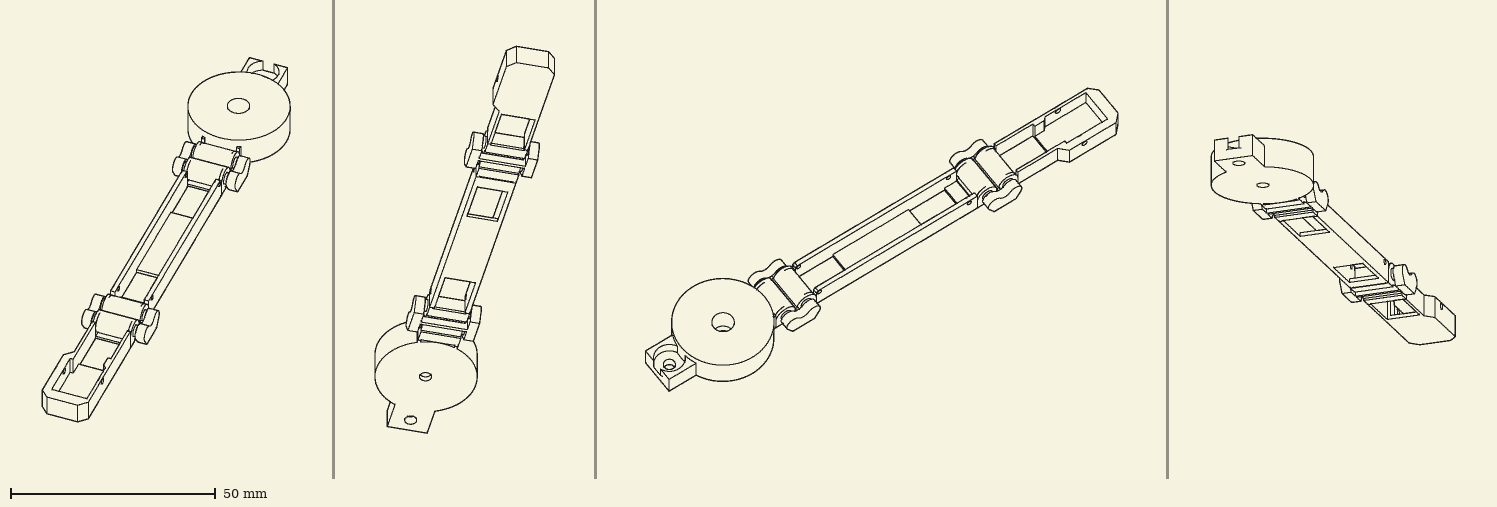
import cadquery as cq
import math


LINK_WIDTH = 10.0
LINK_HEIGHT = 5.5
THIN_WALL = 0.8
FLOOR_THICKNESS = 1.0
CORD_HOLE_DIAMETER = 1.2
CORD_HOLE_HEIGHT = 4.5

DISC_DIAMETER = 25.0
DISC_HEIGHT = 7.5
DISC_BORE_X = -0.1
DISC_BORE_DIAMETER = 3.0
DISC_COUNTERBORE_DIAMETER = 5.5
DISC_COUNTERBORE_FLOOR = 1.3
TAB_END_Y = 19.5
TAB_HOLE_Y = 16.0
TAB_HOLE_DIAMETER = 3.0
TAB_RECESS_DIAMETER = 7.8
TAB_RECESS_FLOOR = 2.5

HINGE_YS = (-18.4, -78.5)
AXIS_SPACING = 6.0
BARREL_DIAMETER = 5.5
BARREL_TOP = 6.0
CHEEK_RADIUS = AXIS_SPACING / 2
FOOT_THICKNESS = 0.7
PIN_DIAMETER = 3.0
PLATE_LOBE_DIAMETER = 4.0
PLATE_THICKNESS = 2.4
PLATE_GAP = 0.8
PLATE_NOTCH_HEIGHT = 3.9
PLATE_FOOT_OVERHANG = 0.3
WEB_THICKNESS = 0.8
WEB_CLEARANCE = 0.1

MIDDLE_WALL = 1.2
MIDDLE_FLOOR_BACK_Y = -35.5
MIDDLE_FLOOR_LENGTH = 22.6
MIDDLE_END_FLOOR_LENGTH = 3.6
MIDDLE_END_CHAMFER = 0.5
MIDDLE_BACK_HOLE_INSET = 1.0
MIDDLE_FRONT_HOLE_INSET = 2.4

TIP_END_Y = -114.5
TIP_LEFT_X = -7.1
TIP_SHOULDER_Y = -96.5
TIP_CHAMFER = 2.0
TIP_END_WALL = 3.1
TIP_FLOOR_Y = -95.5
TIP_STEP_Y = -99.2
TIP_BUMP_THICKNESS = 0.8
TIP_HOLE_DIAMETER = 1.5
TIP_HOLE_Y = -103.0

HALF_WIDTH = LINK_WIDTH / 2
HALF_INSIDE = HALF_WIDTH - THIN_WALL
BARREL_RADIUS = BARREL_DIAMETER / 2
AXIS_HEIGHT = BARREL_TOP - BARREL_RADIUS
PLATE_INNER_X = HALF_WIDTH + PLATE_GAP
PLATE_OUTER_X = PLATE_INNER_X + PLATE_THICKNESS
KNUCKLE_REACH = AXIS_SPACING / 2 + CHEEK_RADIUS
BASE_FRONT_Y = HINGE_YS[0] + KNUCKLE_REACH
MIDDLE_BACK_Y = HINGE_YS[0] - KNUCKLE_REACH
MIDDLE_FRONT_Y = HINGE_YS[1] + KNUCKLE_REACH
TIP_BACK_Y = HINGE_YS[1] - KNUCKLE_REACH


def box(x0, x1, y0, y1, z0, z1):
    """Block between two opposite corners."""
    return cq.Workplane("XY").box(x1 - x0, y1 - y0, z1 - z0, centered=False).translate((x0, y0, z0))


def vertical_cylinder(diameter, y, z0, z1, x=0):
    """Cylinder along Z, on the part's centre line unless x is given."""
    return cq.Workplane("XY", origin=(x, y, z0)).circle(diameter / 2).extrude(z1 - z0)


def cross_cylinder(diameter, y, z, half_length):
    """Cylinder along X, centred on X = 0."""
    plane = cq.Workplane("YZ", origin=(-half_length, y, z))
    return plane.circle(diameter / 2).extrude(2 * half_length)


def cord_hole(y, diameter):
    """Cutter for a hole across both side walls of a link, long enough for the wide tip."""
    return cross_cylinder(diameter, y, CORD_HOLE_HEIGHT, -TIP_LEFT_X)


def make_base():
    """Disc with a mounting tab behind it and two arms that reach the first hinge."""
    tab = box(-HALF_WIDTH, HALF_WIDTH, 0, TAB_END_Y, 0, LINK_HEIGHT)
    arms = box(-HALF_WIDTH, HALF_WIDTH, BASE_FRONT_Y, 0, 0, LINK_HEIGHT)
    arms = arms.cut(box(-HALF_INSIDE, HALF_INSIDE, BASE_FRONT_Y, 0, 0, LINK_HEIGHT))
    disc = vertical_cylinder(DISC_DIAMETER, 0, 0, DISC_HEIGHT)
    recess = vertical_cylinder(TAB_RECESS_DIAMETER, TAB_HOLE_Y, TAB_RECESS_FLOOR, LINK_HEIGHT)
    tab = tab.cut(recess)
    base = disc.union(tab).union(arms)
    base = base.cut(vertical_cylinder(TAB_HOLE_DIAMETER, TAB_HOLE_Y, 0, TAB_RECESS_FLOOR))
    bore = vertical_cylinder(DISC_BORE_DIAMETER, 0, 0, DISC_HEIGHT, DISC_BORE_X)
    counterbore = vertical_cylinder(
        DISC_COUNTERBORE_DIAMETER, 0, DISC_COUNTERBORE_FLOOR, DISC_HEIGHT, DISC_BORE_X
    )
    return base.cut(bore).cut(counterbore)


def make_middle():
    """Two long walls joined by a central floor and a short floor at the front end."""
    half_inside = HALF_WIDTH - MIDDLE_WALL
    link = box(-HALF_WIDTH, HALF_WIDTH, MIDDLE_FRONT_Y, MIDDLE_BACK_Y, 0, LINK_HEIGHT)
    link = link.faces(">Y").edges(">Z").chamfer(MIDDLE_END_CHAMFER)
    floor_front_y = MIDDLE_FLOOR_BACK_Y - MIDDLE_FLOOR_LENGTH
    end_floor_y = MIDDLE_FRONT_Y + MIDDLE_END_FLOOR_LENGTH
    channel = box(-half_inside, half_inside, MIDDLE_FRONT_Y, MIDDLE_BACK_Y, FLOOR_THICKNESS, LINK_HEIGHT)
    link = link.cut(channel)
    for front_y, back_y in ((MIDDLE_FLOOR_BACK_Y, MIDDLE_BACK_Y), (end_floor_y, floor_front_y)):
        link = link.cut(box(-half_inside, half_inside, front_y, back_y, 0, FLOOR_THICKNESS))
    for hole_y in (MIDDLE_BACK_Y - MIDDLE_BACK_HOLE_INSET, MIDDLE_FRONT_Y + MIDDLE_FRONT_HOLE_INSET):
        link = link.cut(cord_hole(hole_y, CORD_HOLE_DIAMETER))
    return link


def make_tip():
    """Fingertip tray, wider on the -X side, open at the top and behind its floor."""
    outline = [
        (-HALF_WIDTH, TIP_BACK_Y),
        (-HALF_WIDTH, TIP_SHOULDER_Y),
        (TIP_LEFT_X, TIP_SHOULDER_Y - TIP_CHAMFER),
        (TIP_LEFT_X, TIP_END_Y + TIP_CHAMFER),
        (TIP_LEFT_X + TIP_CHAMFER, TIP_END_Y),
        (HALF_WIDTH - TIP_CHAMFER, TIP_END_Y),
        (HALF_WIDTH, TIP_END_Y + TIP_CHAMFER),
        (HALF_WIDTH, TIP_BACK_Y),
    ]
    link = cq.Workplane("XY").polyline(outline).close().extrude(LINK_HEIGHT)
    window = box(-HALF_INSIDE, HALF_INSIDE, TIP_FLOOR_Y, TIP_BACK_Y, 0, LINK_HEIGHT)
    bump_x = HALF_INSIDE - TIP_BUMP_THICKNESS
    tray_outline = [
        (-HALF_INSIDE, TIP_FLOOR_Y),
        (-HALF_INSIDE, TIP_STEP_Y),
        (-HALF_WIDTH, TIP_STEP_Y),
        (-HALF_WIDTH, TIP_END_Y + TIP_END_WALL),
        (HALF_INSIDE, TIP_END_Y + TIP_END_WALL),
        (HALF_INSIDE, TIP_STEP_Y),
        (bump_x, TIP_STEP_Y + TIP_BUMP_THICKNESS),
        (bump_x, TIP_FLOOR_Y),
    ]
    tray_floor = cq.Workplane("XY", origin=(0, 0, FLOOR_THICKNESS))
    tray = tray_floor.polyline(tray_outline).close().extrude(LINK_HEIGHT - FLOOR_THICKNESS)
    link = link.cut(window).cut(tray)
    return link.cut(cord_hole(TIP_HOLE_Y, TIP_HOLE_DIAMETER))


def make_knuckle(hinge_y, side):
    """Barrel with two cheeks and a foot toward its link.

    side is +1 for the knuckle at the back of the hinge and -1 for the one at the front.
    The cheeks' round tops touch the top of the barrel.
    """
    axis_y = hinge_y + side * AXIS_SPACING / 2
    link_y = axis_y + side * CHEEK_RADIUS
    foot_y = axis_y + side * BARREL_RADIUS
    arc_height = BARREL_TOP - CHEEK_RADIUS
    arc_middle = CHEEK_RADIUS * math.sqrt(0.5)
    cheeks = (
        cq.Workplane("YZ", origin=(-HALF_WIDTH, 0, 0))
        .moveTo(axis_y, 0)
        .lineTo(link_y, 0)
        .lineTo(link_y, arc_height)
        .threePointArc((axis_y + side * arc_middle, arc_height + arc_middle), (axis_y, BARREL_TOP))
        .close()
        .extrude(LINK_WIDTH)
    )
    front_y = min(axis_y, link_y)
    back_y = max(axis_y, link_y)
    cheeks = cheeks.cut(box(-HALF_INSIDE, HALF_INSIDE, front_y, back_y, 0, BARREL_TOP))
    foot = box(-HALF_INSIDE, HALF_INSIDE, min(axis_y, foot_y), max(axis_y, foot_y), 0, FOOT_THICKNESS)
    barrel = cross_cylinder(BARREL_DIAMETER, axis_y, AXIS_HEIGHT, HALF_WIDTH)
    pin_hole = cross_cylinder(PIN_DIAMETER, axis_y, AXIS_HEIGHT, HALF_WIDTH)
    return barrel.union(foot).union(cheeks).cut(pin_hole)


def make_plate(hinge_y, start_x):
    """Heart-shaped side plate, from start_x toward +X: two lobes blended by a hollow notch."""
    lobe_radius = PLATE_LOBE_DIAMETER / 2
    lobe_y = AXIS_SPACING / 2
    diagonal = lobe_radius * math.sqrt(0.5)
    notch_depth = PLATE_NOTCH_HEIGHT - AXIS_HEIGHT
    notch_radius = (lobe_y**2 + notch_depth**2 - lobe_radius**2) / (2 * (lobe_radius - notch_depth))
    share = lobe_radius / (lobe_radius + notch_radius)
    touch = (lobe_y * (1 - share), AXIS_HEIGHT + (notch_depth + notch_radius) * share)
    lobe_shoulder = (lobe_y + diagonal, AXIS_HEIGHT + diagonal)
    lobe_under = (lobe_y + diagonal, AXIS_HEIGHT - diagonal)
    foot = (lobe_y + PLATE_FOOT_OVERHANG, 0)

    def mirrored(point):
        return (-point[0], point[1])

    return (
        cq.Workplane("YZ", origin=(start_x, hinge_y, 0))
        .moveTo(*touch)
        .threePointArc(lobe_shoulder, lobe_under)
        .lineTo(*foot)
        .lineTo(*mirrored(foot))
        .lineTo(*mirrored(lobe_under))
        .threePointArc(mirrored(lobe_shoulder), mirrored(touch))
        .threePointArc((0, PLATE_NOTCH_HEIGHT), touch)
        .close()
        .extrude(PLATE_THICKNESS)
    )


def make_connector(hinge_y):
    """Two heart-shaped plates joined by the two hinge pins and a web waisted between the barrels."""
    axis_ys = [hinge_y + side * AXIS_SPACING / 2 for side in (1, -1)]
    front_y = hinge_y - WEB_THICKNESS / 2
    connector = box(
        -PLATE_INNER_X, PLATE_INNER_X, front_y, front_y + WEB_THICKNESS, 0, PLATE_NOTCH_HEIGHT
    )
    waist_diameter = BARREL_DIAMETER + 2 * WEB_CLEARANCE
    for axis_y in axis_ys:
        waist = cross_cylinder(waist_diameter, axis_y, AXIS_HEIGHT, HALF_WIDTH + WEB_CLEARANCE)
        connector = connector.cut(waist)
    for start_x in (-PLATE_OUTER_X, PLATE_INNER_X):
        connector = connector.union(make_plate(hinge_y, start_x))
    for axis_y in axis_ys:
        connector = connector.union(cross_cylinder(PIN_DIAMETER, axis_y, AXIS_HEIGHT, PLATE_INNER_X))
    return connector


base_link = make_base()
middle_link = make_middle()
tip_link = make_tip()
knuckles = [make_knuckle(hinge_y, side) for hinge_y in HINGE_YS for side in (1, -1)]
connectors = [make_connector(hinge_y) for hinge_y in HINGE_YS]

result = cq.Compound.makeCompound(
    [
        base_link.val(),
        middle_link.val(),
        tip_link.val(),
        *[knuckle.val() for knuckle in knuckles],
        *[connector.val() for connector in connectors],
    ]
)